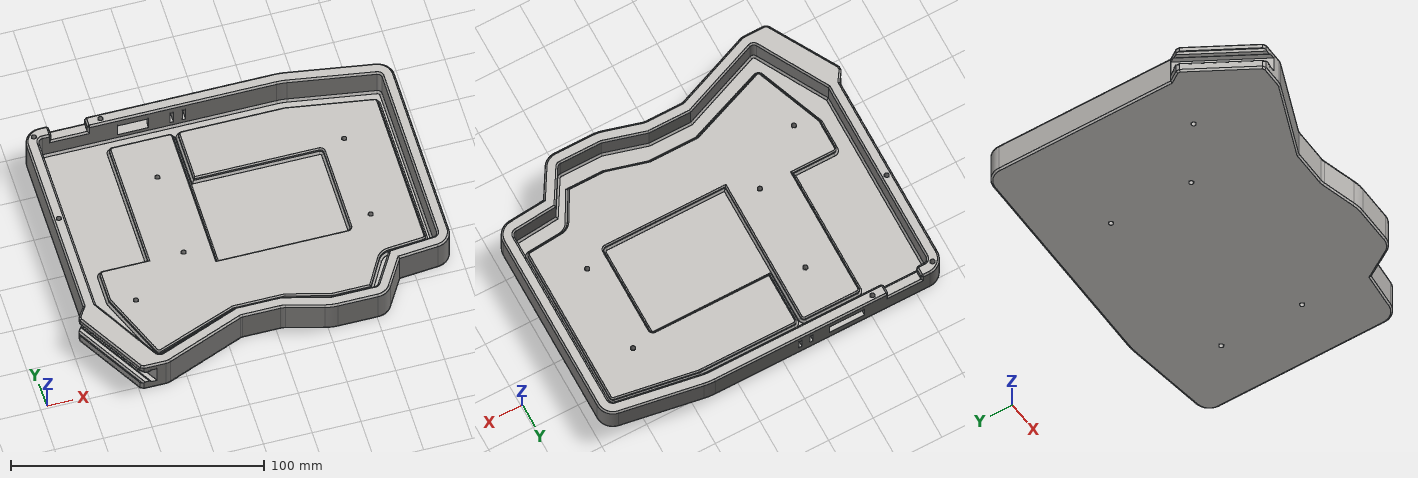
import cadquery as cq

length = 152.1
depth = 123.3
height = 15.0
wall = 5.0
floor_z = 2.5
edge_chamfer = 0.8
floor_chamfer = 0.9

left_x = 3.0
block_root = (left_x, 35.3)
block_tip = (-0.5, 30.0)
block_foot = (17.0, 0.0)
toe = (28.0, 0.0)
front_bend_left = (61.7, 13.4)
front_bend_right = (78.8, 13.4)
front_low = (97.3, 8.2)
front_right = (120.3, 8.2)
step_corner = (129.5, 23.7)
right_front = (length, 25.7)
right_back = (length, 116.2)
back_bend = (108.6, depth)
left_back = (left_x, depth)
wall_corners = [
    front_bend_left, front_bend_right, front_low, front_right, step_corner,
    right_front, right_back, back_bend, left_back,
]
round_corners = [front_right, right_front, right_back, left_back]

guide_shoulder = (left_x, 33.8)
guide_toe = (23.3, -1.8)

corner_radius = 7.0
inner_corner_radius = corner_radius - wall
toe_radius = 5.0
front_left_radius = 2.7
front_middle_radius = 7.0
front_low_radius = 19.0
back_bend_radius = 30.4
block_chamfer = 0.9

slant_run = block_foot[0] - block_tip[0]
slant_drop = block_tip[1] - block_foot[1]
groove_z = 8.2
groove_depth = 5.5
groove_half_height = 4.0
neck_half_height = 3.2
neck_start = 1.2
neck_end = 2.7
groove_flare = groove_half_height - neck_half_height
groove_reach = 53.2
groove_overcut = 1.5

plateau_height = 2.5
plateau_top_chamfer = 0.6
plateau_base_chamfer = 0.9
plateau_corner_radius = 1.5
plateau_step_radius = 6.1
plateau_left = 15.7
plateau_right = 144.3
plateau_right_front = 37.1
plateau_right_back = 107.5
plateau_back = 113.5
plateau_toe = (27.4, 12.5)
plateau_step = (125.3, 35.6)
shelf_left = 35.7
shelf_front = 56.7
channel_left = 61.9
channel_right = 64.0
pocket_right = 117.0
pocket_front = 49.3
pocket_back = 90.0

hole_diameter = 2.0
floor_holes = [(25.9, 39.4), (50.3, 56.5), (50.3, 94.5), (126.4, 92.3), (126.4, 54.1)]
rim_holes = [(5.5, 78.8), (6.8, 119.5), (34.5, 120.9)]
rim_hole_depth = 6.1

notch_left = 13.7
notch_right = 28.6
notch_floor = height - 4.0
window_left = 40.9
window_width = 12.6
window_bottom = 5.2
window_height = 6.0
recess_margin = 1.5
recess_depth = 2.9
slit_lefts = [62.4, 67.4]
slit_width = 1.4
slit_height = 6.2
slit_bottom = 5.2

select_margin = 0.2


def prism(points, tall):
    return cq.Workplane("XY").polyline(points).close().extrude(tall)


def upright_edge(solid, corner):
    """The vertical edge standing closest to an outline corner."""
    nearest = cq.selectors.NearestToPointSelector((*corner, height / 2))
    return solid.edges("|Z").edges(nearest)


def fillet_corners(solid, corners, radius):
    for corner in corners:
        solid = upright_edge(solid, corner).fillet(radius)
    return solid


def case_block():
    block = prism([block_root, block_tip, block_foot, toe] + wall_corners, height)
    block = fillet_corners(block, round_corners, corner_radius)
    block = fillet_corners(block, [toe], toe_radius)
    block = fillet_corners(block, [front_bend_left], front_left_radius)
    block = fillet_corners(block, [front_bend_right], front_middle_radius)
    block = fillet_corners(block, [front_low], front_low_radius)
    block = fillet_corners(block, [back_bend], back_bend_radius)
    for corner in (block_tip, block_foot):
        block = upright_edge(block, corner).chamfer(block_chamfer)
    return block


def cavity():
    guide = cq.Workplane("XY").workplane(offset=floor_z)
    guide = guide.polyline([guide_shoulder, guide_toe] + wall_corners).close()
    space = guide.offset2D(-wall, "intersection").extrude(height - floor_z)
    space = fillet_corners(space, [guide_toe] + round_corners, inner_corner_radius)
    space = fillet_corners(space, [back_bend], back_bend_radius - wall)
    return space.faces("<Z").edges().chamfer(floor_chamfer)


def back_opening(left, bottom, width, tall, cut_depth):
    """A box reaching cut_depth into the back wall from its outer face."""
    box = cq.Workplane("XY").box(width, 2 * cut_depth, tall, centered=(False, True, False))
    return box.translate((left, depth, bottom))


def shell():
    """The walled tray with its rim notch, chamfered along the wall and the notch."""
    notch_width = notch_right - notch_left
    tray = case_block().cut(cavity())
    tray = tray.cut(back_opening(notch_left, notch_floor, notch_width, height, 1.5 * wall))
    notch_region = cq.selectors.BoxSelector(
        (notch_left - select_margin, depth - wall - select_margin, notch_floor - select_margin),
        (notch_right + select_margin, depth + select_margin, height - select_margin),
    )
    notch_edges = tray.edges(notch_region).edges("not |Y").vals()
    wall_edges = tray.faces(">Z or <Z").edges().vals()
    return tray.newObject(notch_edges + wall_edges).chamfer(edge_chamfer)


def plateau():
    shelf_corner = (plateau_left, shelf_front)
    left_pad_back = [(shelf_left, plateau_back), (channel_left, plateau_back)]
    channel_mouth = (channel_right, plateau_back)
    pocket_far_corners = [(pocket_right, pocket_back), (pocket_right, pocket_front)]
    right_corners = [(plateau_right, plateau_right_front), (plateau_right, plateau_right_back)]
    front_edge = [plateau_toe, (61.7, 25.5), (83.0, 25.5), (101.0, 20.7), (117.0, 20.7), plateau_step]

    outline = [(shelf_left, shelf_front), shelf_corner, (plateau_left, 42.3)]
    outline += front_edge + right_corners
    outline += [(108.0, plateau_back), channel_mouth, (channel_right, pocket_back)]
    outline += pocket_far_corners + [(channel_left, pocket_front)]
    outline += reversed(left_pad_back)
    small_corners = [shelf_corner, plateau_toe, channel_mouth]
    small_corners += left_pad_back + pocket_far_corners + right_corners

    pad = prism(outline, floor_z + plateau_height)
    pad = fillet_corners(pad, small_corners, plateau_corner_radius)
    pad = fillet_corners(pad, [plateau_step], plateau_step_radius)
    pad = pad.faces(">Z").edges().chamfer(plateau_top_chamfer)

    slab = cq.Workplane("XY").box(length, depth, floor_z, centered=False)
    foot_region = cq.selectors.BoxSelector(
        (select_margin, select_margin, floor_z - select_margin),
        (length - select_margin, depth - select_margin, floor_z + select_margin),
    )
    foot_edges = slab.union(pad).faces("|Z").edges(foot_region)
    return foot_edges.chamfer(plateau_base_chamfer).cut(slab)


def rail_groove():
    upper = [
        (-groove_overcut, groove_half_height),
        (neck_start - groove_flare, groove_half_height),
        (neck_start, neck_half_height),
        (neck_end, neck_half_height),
        (neck_end + groove_flare, groove_half_height),
        (groove_depth, groove_half_height),
    ]
    lower = [(inward, -z) for inward, z in reversed(upper)]
    plane = cq.Plane(
        origin=(*block_tip, groove_z),
        xDir=(slant_drop, slant_run, 0),
        normal=(slant_run, -slant_drop, 0),
    )
    return cq.Workplane(plane).polyline(upper + lower).close().extrude(groove_reach, both=True)


def wall_openings():
    """The connector window with its outer recess, and the narrow slits beside it."""
    through = 1.5 * wall
    openings = back_opening(window_left, window_bottom, window_width, window_height, through)
    recess_width = window_width + 2 * recess_margin
    recess_left = window_left - recess_margin
    openings = openings.union(
        back_opening(recess_left, window_bottom, recess_width, window_height, recess_depth)
    )
    for left in slit_lefts:
        openings = openings.union(back_opening(left, slit_bottom, slit_width, slit_height, through))
    return openings


def drill(centers, start_z, hole_depth):
    sketch = cq.Workplane("XY").workplane(offset=start_z).pushPoints(centers)
    return sketch.circle(hole_diameter / 2).extrude(hole_depth)


result = shell().union(plateau())
result = result.cut(rail_groove())
result = result.cut(wall_openings())
result = result.cut(drill(floor_holes, 0, height))
result = result.cut(drill(rim_holes, height - rim_hole_depth, rim_hole_depth))